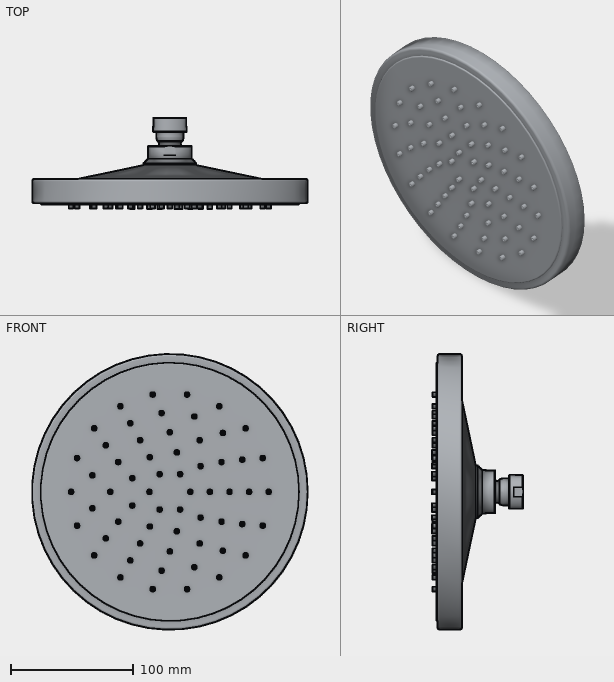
import cadquery as cq
import math


disc_radius = 113.0
disc_thickness = 20.1
rim_round = 2.0
back_cone_radius = 75.5
back_cone_top = 31.5

flare_radius = 21.7
flare_base = 32.8
collar_radius = 18.0
collar_base = 36.6
collar_top = 47.2
collar_flat_offset = 17.52
collar_flat_base = 39.3

plate_radius = 105.8
plate_height = 1.1

nozzle_radius = 2.0
inner_nozzle_height = 3.6
outer_nozzle_height = 3.2
nozzle_chamfer = 0.5
outlet_radius = 0.7
outlet_depth = 1.1
first_ring_radius = 16.7
ring_pitch = 16.0
ring_total = 5
inner_ring_total = 2
first_ring_count = 6
extra_per_ring = 3

waist_end_radius = 9.5
waist_radius = 9.0
waist_top = 50.5
shoulder_base = 51.0
shoulder_base_radius = 10.5
shoulder_mid_radius = 11.0
neck_radius = 11.3
neck_base = 54.5
nut_radius = 14.0
nut_base = 58.3
nut_top = 70.3
nut_flat_offset = 13.45
nut_flat_base = 62.6

edge_chamfer = 0.7


def revolve_about_y(profile):
    return profile.close().revolve(360, (0, 0, 0), (0, 1, 0))


def cut_flat_pair(body, offset, base, top, turn):
    """Cut two opposite flats between two heights, at -X and +X before turning about Y."""
    length = top - base
    width = 2 * collar_radius
    for side in (0, 180):
        block = (
            cq.Workplane("XY")
            .box(width, length, width, centered=(False, False, True))
            .translate((offset, base, 0))
            .rotate((0, 0, 0), (0, 1, 0), turn + side)
        )
        body = body.cut(block)
    return body


def head_blank():
    profile = (
        cq.Workplane("XY")
        .moveTo(0, -plate_height)
        .lineTo(plate_radius - plate_height, -plate_height)
        .radiusArc((plate_radius, 0), -plate_height)
        .lineTo(disc_radius - rim_round, 0)
        .radiusArc((disc_radius, rim_round), -rim_round)
        .lineTo(disc_radius, disc_thickness - rim_round)
        .radiusArc((disc_radius - rim_round, disc_thickness), -rim_round)
        .lineTo(back_cone_radius, disc_thickness)
        .lineTo(flare_radius, back_cone_top)
        .lineTo(flare_radius, flare_base)
        .lineTo(collar_radius, collar_base)
        .lineTo(collar_radius, collar_top - edge_chamfer)
        .lineTo(collar_radius - edge_chamfer, collar_top)
        .lineTo(0, collar_top)
    )
    body = revolve_about_y(profile)
    return cut_flat_pair(body, collar_flat_offset, collar_flat_base, collar_top, 90)


def ring_places(ring):
    """Places of the nozzles in one ring, counted from 0; the first nozzle lies on +X."""
    radius = first_ring_radius + ring * ring_pitch
    count = first_ring_count + ring * extra_per_ring
    angles = [2 * math.pi * index / count for index in range(count)]
    return [(radius * math.cos(angle), radius * math.sin(angle)) for angle in angles]


def nozzle_ring(ring):
    """Nozzles of one ring; the inner rings stand slightly taller than the outer ones."""
    height = inner_nozzle_height if ring < inner_ring_total else outer_nozzle_height
    places = ring_places(ring)
    plate_face = cq.Workplane("XZ", origin=(0, -plate_height, 0))
    tip_face = plate_face.workplane(offset=height)
    pins = plate_face.pushPoints(places).circle(nozzle_radius).extrude(height)
    outlets = tip_face.pushPoints(places).circle(outlet_radius).extrude(-outlet_depth)
    return pins.faces("<Y").chamfer(nozzle_chamfer).cut(outlets)


def shower_head():
    body = head_blank()
    for ring in range(ring_total):
        body = body.union(nozzle_ring(ring))
    return body


def pipe_connector():
    waist_middle = (collar_top + waist_top) / 2
    shoulder_middle = (shoulder_base + neck_base) / 2
    profile = (
        cq.Workplane("XY")
        .moveTo(0, collar_top)
        .lineTo(waist_end_radius, collar_top)
        .threePointArc((waist_radius, waist_middle), (waist_end_radius, waist_top))
        .lineTo(shoulder_base_radius, shoulder_base)
        .threePointArc((shoulder_mid_radius, shoulder_middle), (neck_radius, neck_base))
        .lineTo(neck_radius, nut_base)
        .lineTo(nut_radius - edge_chamfer, nut_base)
        .lineTo(nut_radius, nut_base + edge_chamfer)
        .lineTo(nut_radius, nut_top - edge_chamfer)
        .lineTo(nut_radius - edge_chamfer, nut_top)
        .lineTo(0, nut_top)
    )
    body = revolve_about_y(profile)
    return cut_flat_pair(body, nut_flat_offset, nut_flat_base, nut_top, 0)


head = shower_head()
connector = pipe_connector()
result = cq.Compound.makeCompound([*head.solids().vals(), *connector.solids().vals()])